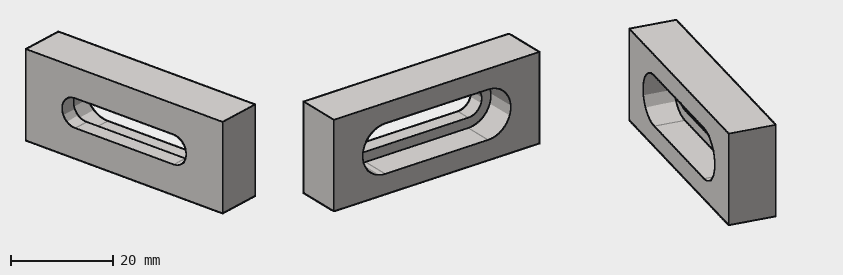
import cadquery as cq

block_length = 50.0
block_thickness = 10.0
block_height = 20.0

slot_travel = 25.0
slot_width = 6.5
recess_width = 11.0
web_thickness = 3.5
recess_depth = block_thickness - web_thickness


def make_block():
    return cq.Workplane("XY").box(block_length, block_thickness, block_height)


def slot_from_back(width, depth):
    """Round-ended slot running from the +Y face toward -Y."""
    back_face = cq.Workplane("XZ", origin=(0, block_thickness / 2, 0))
    return back_face.slot2D(slot_travel + width, width).extrude(depth)


through_slot = slot_from_back(slot_width, block_thickness)
recess = slot_from_back(recess_width, recess_depth)

result = make_block().cut(through_slot).cut(recess)